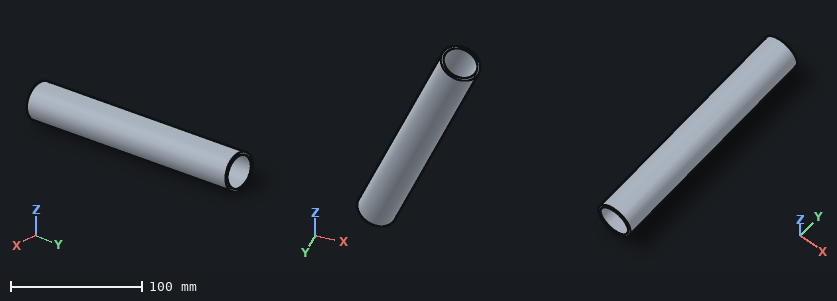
import cadquery as cq

length = 200.0
outer_diameter = 32.0
wall_thickness = 2.5
inner_diameter = outer_diameter - 2 * wall_thickness

result = (
    cq.Workplane("XZ", origin=(0, length / 2, 0))
    .circle(outer_diameter / 2)
    .circle(inner_diameter / 2)
    .extrude(length)
)